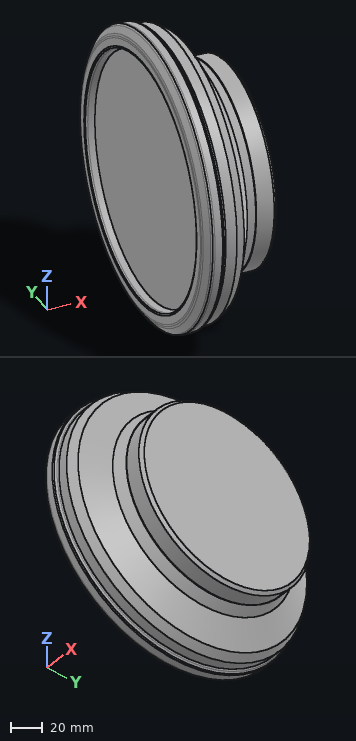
import cadquery as cq
import math

outer_radius = 100.0
total_depth = 63.0

ring_depth = 15.2
face_inner_radius = 86.4
face_outer_radius = 91.8
bore_lip = [(1.5, 84.5), (0.4, 85.2)]
front_bevel = [(0.2, 93.0), (0.8, 94.4), (4.0, 98.8), (5.2, 99.8)]
land_start = 6.4
land_end = 11.8
rear_bevel = [(13.0, 99.5), (14.4, 98.4)]

panel_depth = 6.2
panel_radius = 83.5
shoulder_radius = 97.4
shoulder_end = 22.8
flare_angle = math.radians(60)
transition_angle = flare_angle / 2
flare_start = 29.4
flare_end = 40.2
neck_radius = 139.5 / 2
neck_start = 48.0
base_radius = 140.0 / 2
base_start = 48.4
base_chamfer = 2.4

flare_start_radius = shoulder_radius - (flare_start - shoulder_end) * math.tan(transition_angle)
flare_end_radius = neck_radius + (neck_start - flare_end) * math.tan(transition_angle)


def revolve_about_x(outline):
    """Turn a closed outline of (X, radius) points into a solid."""
    return cq.Workplane("XY").polyline(outline).close().revolve(360, (0, 0, 0), (1, 0, 0))


def make_ring():
    return revolve_about_x([
        (ring_depth, panel_radius),
        (panel_depth, panel_radius),
        *bore_lip,
        (0, face_inner_radius),
        (0, face_outer_radius),
        *front_bevel,
        (land_start, outer_radius),
        (land_end, outer_radius),
        *rear_bevel,
        (ring_depth, shoulder_radius),
    ])


def make_housing():
    return revolve_about_x([
        (panel_depth, 0),
        (panel_depth, panel_radius),
        (ring_depth, panel_radius),
        (ring_depth, shoulder_radius),
        (shoulder_end, shoulder_radius),
        (flare_start, flare_start_radius),
        (flare_end, flare_end_radius),
        (neck_start, neck_radius),
        (base_start, neck_radius),
        (base_start, base_radius),
        (total_depth - base_chamfer, base_radius),
        (total_depth, base_radius - base_chamfer),
        (total_depth, 0),
    ])


ring = make_ring()
housing = make_housing()
result = cq.Compound.makeCompound([ring.val(), housing.val()])